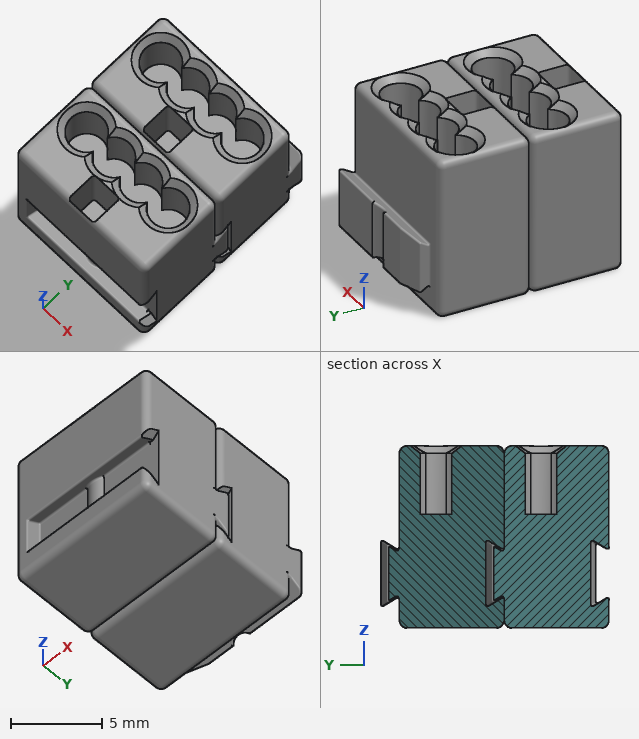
import cadquery as cq
import math

width = 10.0
height = 10.0
block_depth = 5.75
block_count = 2
tongue_depth = 1.0
edge_radius = 0.44
total_depth = block_count * block_depth + tongue_depth

rail_height = 3.0
neck_half_height = 1.26
flank_angle = 31.0
flank_slope = math.tan(math.radians(flank_angle))
tongue_start = -3.98
rail_round = 0.1
root_depth = 0.75
taper_end = -2.31
taper_tip_depth = 0.66
notch_centre = 0.2
notch_half_width = 0.62
notch_depth = 0.28

end_gap = 0.1
slot_start = tongue_start - end_gap

mouth_start = 4.35
flare_start = width / 2 - edge_radius

entry_count = 4
entry_pitch = 2.1
entry_radius = 1.19
rim_radius = 1.61
rim_depth = 0.41
entry_from_back = 2.02

test_size = 2.0
test_corner_radius = 0.2
test_from_front = 0.14

opening_depth = 3.75


def block_blank():
    """Rounded block with its front face on Y = 0 and its bottom on Z = 0."""
    box = cq.Workplane("XY").box(width, block_depth, height, centered=(True, False, False))
    return box.edges().fillet(edge_radius)


def neck_height_at(depth):
    """Half height of the sharp dovetail at a distance beyond the face it stands on."""
    return neck_half_height + depth * flank_slope


def dovetail_section(x, face_y, inner, outer, extra=0.0):
    """Closed dovetail outline in the YZ plane at the given X."""
    inner_half = neck_height_at(inner) + extra
    outer_half = neck_height_at(outer) + extra
    return cq.Workplane("YZ", origin=(x, face_y, rail_height)).polyline([
        (inner, -inner_half),
        (outer, -outer_half),
        (outer, outer_half),
        (inner, inner_half),
    ]).close()


def sharp_dovetail(start, end):
    """Dovetail prism standing on the plane Y = 0, with the latch notch cut into its tip."""
    prism = dovetail_section(start, 0, -root_depth, tongue_depth).extrude(end - start)
    notch = (
        cq.Workplane("XY")
        .moveTo(notch_centre - notch_half_width, tongue_depth)
        .threePointArc(
            (notch_centre, tongue_depth - notch_depth),
            (notch_centre + notch_half_width, tongue_depth),
        )
        .close()
        .extrude(height)
    )
    return prism.cut(notch)


def tongue_outline():
    """Outline seen along Z that gives the tongue its tapered lead-in and rounded corner."""
    return (
        cq.Workplane("XY")
        .moveTo(tongue_start, -root_depth)
        .lineTo(tongue_start, taper_tip_depth)
        .lineTo(taper_end, tongue_depth)
        .lineTo(width / 2 - edge_radius, tongue_depth)
        .radiusArc((width / 2, tongue_depth - edge_radius), edge_radius)
        .lineTo(width / 2, -root_depth)
        .close()
        .extrude(height)
    )


def rounded_dovetail(base, rail, start):
    """Join a sharp dovetail to a base below Y = 0, then round the seam and the free edges."""
    box = cq.selectors.BoxSelector
    lower_z = rail_height - neck_half_height
    upper_z = rail_height + neck_half_height
    seam = box(
        (start - rail_round, -edge_radius, lower_z - rail_round),
        (width, rail_round / 2, upper_z + rail_round),
    )
    joined = base.union(rail).edges(seam).fillet(rail_round)

    past_seam = 2 * rail_round
    past_tip = tongue_depth + rail_round
    lower_edges = box((-width, past_seam, 0), (width, past_tip, lower_z))
    upper_edges = box((-width, past_seam, upper_z), (width, past_tip, height / 2))
    end_edges = box((-width, past_seam, 0), (start + rail_round, past_tip, height / 2))
    return joined.edges(lower_edges + upper_edges + end_edges).fillet(rail_round)


def block_with_tongue():
    """Block with its front face on Y = 0 and a rounded dovetail tongue on its back face."""
    tongue = sharp_dovetail(tongue_start, width / 2).intersect(tongue_outline())
    block_behind_origin = block_blank().translate((0, -block_depth, 0))
    joined = rounded_dovetail(block_behind_origin, tongue, tongue_start)
    return joined.translate((0, block_depth, 0))


def slot_cutter():
    """Untapered dovetail slot with rounded lips and an unrounded, flared mouth at +X."""
    slab = cq.Workplane("XY").box(2 * width, root_depth, height, centered=(True, False, False))
    slab = slab.translate((0, -root_depth, 0))
    rail = sharp_dovetail(slot_start, width)
    slot_space = cq.Workplane("XY").box(width, tongue_depth, height, centered=(True, False, False))
    slot = rounded_dovetail(slab, rail, slot_start).intersect(slot_space)

    mouth = dovetail_section(mouth_start, 0, 0, tongue_depth).extrude(width / 2 - mouth_start)
    flare_rise = width / 2 - flare_start
    flare_wires = [
        dovetail_section(flare_start, 0, 0, tongue_depth).wires().val(),
        dovetail_section(width / 2, 0, 0, tongue_depth, flare_rise).wires().val(),
    ]
    flare = cq.Workplane(cq.Solid.makeLoft(flare_wires, True))
    return slot.union(mouth).union(flare)


def wire_entries():
    """Overlapping round wire entries with conical rims."""
    entry_y = block_depth - entry_from_back
    first_x = -(entry_count - 1) * entry_pitch / 2
    cutter = cq.Workplane("XY")
    for index in range(entry_count):
        entry = (
            cq.Workplane("XZ", origin=(first_x + index * entry_pitch, entry_y, height))
            .polyline([
                (0, 0),
                (rim_radius, 0),
                (entry_radius, -rim_depth),
                (entry_radius, -opening_depth),
                (0, -opening_depth),
            ])
            .close()
            .revolve(360, (0, 0, 0), (0, 1, 0))
        )
        cutter = cutter.union(entry)
    return cutter


def test_opening():
    """Square opening with rounded corners near the front edge of the top face."""
    corner = cq.Workplane("XY", origin=(0, test_from_front, height - opening_depth))
    shaft = corner.box(test_size, test_size, opening_depth, centered=(True, False, False))
    return shaft.edges("|Z").fillet(test_corner_radius)


def terminal_block():
    """Complete block: slot in front, tongue behind, openings in the top."""
    return block_with_tongue().cut(slot_cutter()).cut(wire_entries()).cut(test_opening())


block = terminal_block()
blocks = [
    block.translate((0, index * block_depth - total_depth / 2, -height / 2))
    for index in range(block_count)
]

result = cq.Compound.makeCompound([body.solids().val() for body in blocks])